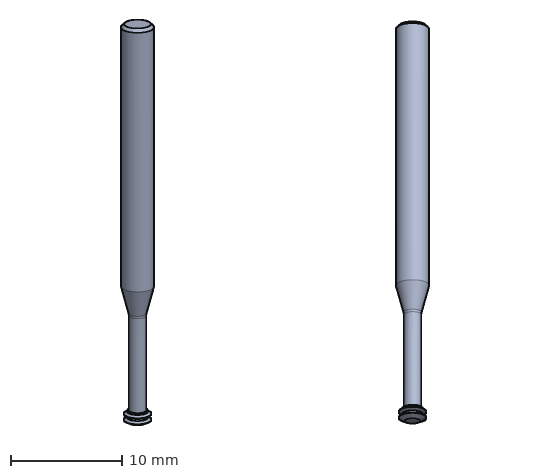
import cadquery as cq
import math

total_length = 38.0
shank_radius = 3.0 / 2
shank_chamfer = 0.3
shank_bottom = 13.05

neck_radius = 1.6 / 2
shoulder_angle = math.radians(14.7)
blend_radius = 0.9

core_radius = 1.82 / 2
core_top = 1.2
ring_radius = 2.5 / 2
ring_land = 0.05
ring_pitch = 0.57
ring_count = 2
flank_slope = math.tan(math.radians(27))
tip_radius = 0.7

flank_height = (ring_radius - core_radius) * flank_slope
first_land_bottom = (ring_radius - tip_radius) * flank_slope


def blend_point(angle):
    """Radius and height offset on the blend arc, measured from its neck end."""
    radius = neck_radius + blend_radius * (1 - math.cos(angle))
    return radius, blend_radius * math.sin(angle)


blend_end_radius, blend_height = blend_point(shoulder_angle)
blend_mid_radius, blend_mid_height = blend_point(shoulder_angle / 2)
cone_height = (shank_radius - blend_end_radius) / math.tan(shoulder_angle)
blend_top = shank_bottom - cone_height
neck_top = blend_top - blend_height


def add_ring(profile, land_bottom):
    """Add the crest land and the upper flank of one ring."""
    land_top = land_bottom + ring_land
    return (
        profile.lineTo(ring_radius, land_bottom)
        .lineTo(ring_radius, land_top)
        .lineTo(core_radius, land_top + flank_height)
    )


profile = cq.Workplane("XZ").lineTo(tip_radius, 0)
for index in range(ring_count):
    land_bottom = first_land_bottom + index * ring_pitch
    if index > 0:
        profile = profile.lineTo(core_radius, land_bottom - flank_height)
    profile = add_ring(profile, land_bottom)

profile = (
    profile.lineTo(core_radius, core_top)
    .lineTo(neck_radius, core_top)
    .lineTo(neck_radius, neck_top)
    .threePointArc((blend_mid_radius, neck_top + blend_mid_height), (blend_end_radius, blend_top))
    .lineTo(shank_radius, shank_bottom)
)

profile = (
    profile.lineTo(shank_radius, total_length - shank_chamfer)
    .lineTo(shank_radius - shank_chamfer, total_length)
    .lineTo(0, total_length)
    .close()
)

result = profile.revolve(360, (0, 0, 0), (0, 1, 0))